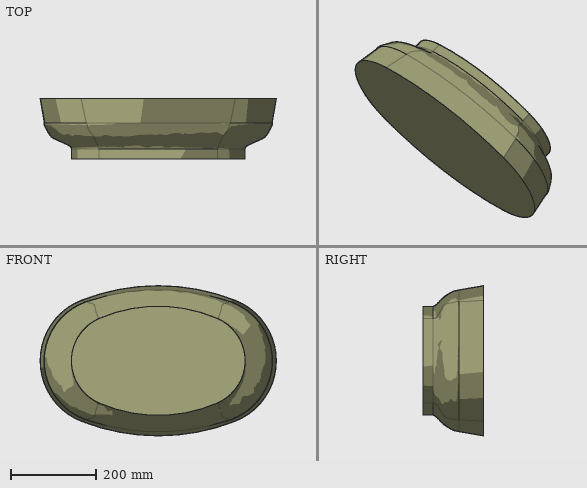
import cadquery as cq
import math

length = 553.0
width = 351.5
depth = 142.0

foot_length = 406.0
foot_width = 255.5
foot_height = 24.0

rim_end_radius = 152.0
foot_end_radius = 108.0

rim_y = depth / 2
foot_top_depth = depth - foot_height

rim_section = (0, length / 2, width / 2)
shoulder_top_section = (58.0, 266.5, 166.5)
shoulder_sections = [
    (68.5, 263.5, 163.5),
    (78.5, 258.5, 159.0),
    (87.5, 253.0, 153.5),
    (95.0, 242.5, 147.5),
    (102.0, 226.0, 140.0),
    (109.5, 210.5, 132.0),
]
foot_section = (foot_top_depth, foot_length / 2, foot_width / 2)


def end_radius(half_length):
    """Blend the end radius evenly between the foot and the rim."""
    blend = (half_length - foot_length / 2) / (length / 2 - foot_length / 2)
    return foot_end_radius + blend * (rim_end_radius - foot_end_radius)


def oval(section):
    """Oval wire of four tangent arcs, lying across the Y axis."""
    section_depth, half_length, half_width = section
    y = rim_y - section_depth
    radius = end_radius(half_length)
    end_center = half_length - radius
    side_radius = (end_center**2 + half_width**2 - radius**2) / (2 * (half_width - radius))
    side_center = side_radius - half_width

    angle = math.atan2(side_center, end_center)
    joint_x = end_center + radius * math.cos(angle)
    joint_z = radius * math.sin(angle)

    def point(x, z):
        return cq.Vector(x, y, z)

    arcs = [
        (point(joint_x, -joint_z), point(half_length, 0), point(joint_x, joint_z)),
        (point(joint_x, joint_z), point(0, half_width), point(-joint_x, joint_z)),
        (point(-joint_x, joint_z), point(-half_length, 0), point(-joint_x, -joint_z)),
        (point(-joint_x, -joint_z), point(0, -half_width), point(joint_x, -joint_z)),
    ]
    return cq.Wire.assembleEdges([cq.Edge.makeThreePointArc(*arc) for arc in arcs])


def make_body():
    """Straight flared wall above a rounded shoulder drawn in to the foot."""
    wall = cq.Solid.makeLoft([oval(rim_section), oval(shoulder_top_section)], True)
    sections = [shoulder_top_section, *shoulder_sections, foot_section]
    shoulder = cq.Solid.makeLoft([oval(section) for section in sections], False)
    return wall.fuse(shoulder)


def make_foot():
    """Straight plinth running from the base to the body."""
    base = cq.Face.makeFromWires(oval((depth, foot_length / 2, foot_width / 2)))
    return cq.Solid.extrudeLinear(base, cq.Vector(0, foot_height, 0))


result = cq.Workplane("XY").add(make_body()).union(cq.Workplane("XY").add(make_foot()))